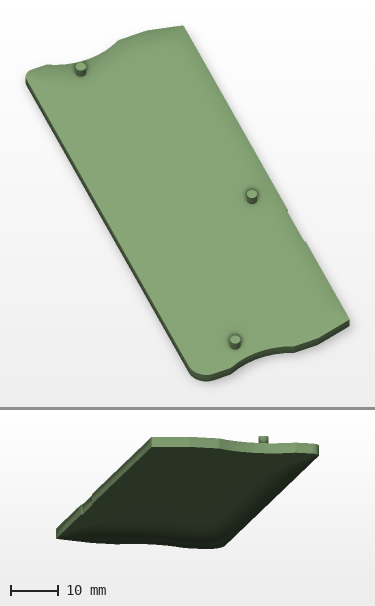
import cadquery as cq

length = 90.7
width = 36.0
plate_height = 2.2

left_taper_inset = 1.8
left_taper_start = 28.4
right_taper_inset = 2.0
right_taper_start = 27.8

left_scallop_front = 5.4
left_scallop_back = 21.9
left_scallop_depth = 2.2
right_scallop_front = 7.9
right_scallop_back = 22.4
right_scallop_depth = 1.6

notch_left = 56.1
notch_right = 65.6
notch_depth = 0.3

front_left_radius = 1.9
front_right_radius = 4.0
back_corner_radius = 0.45
scallop_edge_radius = 1.2

total_height = 4.2
pin_diameter = 2.2
front_pin_y = 11.2
pin_centers = [(4.9, front_pin_y), (85.5, front_pin_y), (50.9, 30.2)]


def round_corners(body, corners, radius):
    """Round the vertical plate edges that stand at the given corners."""
    for corner in corners:
        edge_middle = (*corner, plate_height / 2)
        body = body.edges(cq.selectors.NearestToPointSelector(edge_middle)).fillet(radius)
    return body


def make_plate():
    front_left = (0, 0)
    front_right = (length, 0)
    back_right = (length - right_taper_inset, width)
    back_left = (left_taper_inset, width)
    right_scallop_ends = [(length, right_scallop_front), (length, right_scallop_back)]
    left_scallop_ends = [(0, left_scallop_back), (0, left_scallop_front)]
    right_scallop_middle = (length - right_scallop_depth, (right_scallop_front + right_scallop_back) / 2)
    left_scallop_middle = (left_scallop_depth, (left_scallop_front + left_scallop_back) / 2)

    plate = (
        cq.Workplane("XY")
        .moveTo(*front_left)
        .lineTo(*front_right)
        .lineTo(*right_scallop_ends[0])
        .threePointArc(right_scallop_middle, right_scallop_ends[1])
        .lineTo(length, right_taper_start)
        .lineTo(*back_right)
        .lineTo(notch_right, width)
        .lineTo(notch_right, width - notch_depth)
        .lineTo(notch_left, width - notch_depth)
        .lineTo(notch_left, width)
        .lineTo(*back_left)
        .lineTo(0, left_taper_start)
        .lineTo(*left_scallop_ends[0])
        .threePointArc(left_scallop_middle, left_scallop_ends[1])
        .close()
        .extrude(plate_height)
    )
    plate = round_corners(plate, [front_left], front_left_radius)
    plate = round_corners(plate, [front_right], front_right_radius)
    plate = round_corners(plate, [back_left, back_right], back_corner_radius)
    return round_corners(plate, left_scallop_ends + right_scallop_ends, scallop_edge_radius)


def make_pins():
    return cq.Workplane("XY").pushPoints(pin_centers).circle(pin_diameter / 2).extrude(total_height)


result = make_plate().union(make_pins())